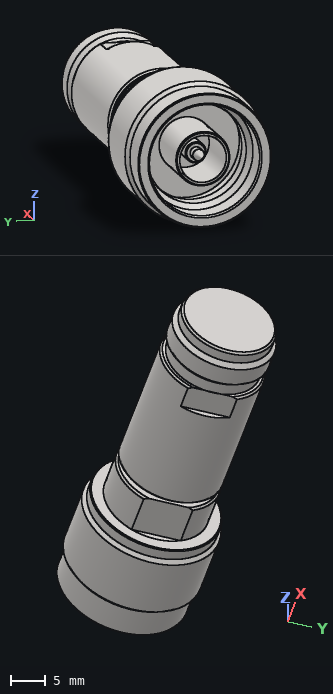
import cadquery as cq


total_length = 53.3

nut_length = 16.9
nut_radius = 9.9
nut_edge_chamfer = 0.15
grip_radius = 10.5
grip_start = 4.7
grip_end = 15.15
grip_bevel = grip_radius - nut_radius

mouth_radius = 8.2
mouth_chamfer = 0.25
throat_radius = 7.4
throat_start = 4.8
throat_end = 7.3
throat_bevel = mouth_radius - throat_radius

body_radius = 7.95
collar_start = 10.65
collar_end = 23.25
neck_radius = 4.7
barrel_start = 24.2
barrel_end = 45.2
body_edge_chamfer = 0.3

socket_radius = 7.15
socket_edge_chamfer = 0.3
band_radius = 7.85
band_start = 47.1
band_end = 51.45
band_bevel = band_radius - socket_radius

flat_height = 7.05
barrel_flat_start = 41.3

ferrule_radius = 4.0
ferrule_bore_radius = 3.45
ferrule_start = 1.05
ferrule_chamfer = 0.15
pin_shank_radius = 1.55
pin_shank_start = 5.05
pin_shank_chamfer = 0.15
pin_tip_radius = 0.85
pin_tip_start = 1.7
pin_cone_length = 1.85


def turned(profile):
    """Revolve a closed (x, radius) outline about the X axis."""
    return cq.Workplane("XY").polyline(profile).close().revolve(360, (0, 0, 0), (1, 0, 0))


def make_nut():
    return turned([
        (0, nut_radius - nut_edge_chamfer),
        (nut_edge_chamfer, nut_radius),
        (grip_start, nut_radius),
        (grip_start + grip_bevel, grip_radius),
        (grip_end - grip_bevel, grip_radius),
        (grip_end, nut_radius),
        (nut_length - nut_edge_chamfer, nut_radius),
        (nut_length, nut_radius - nut_edge_chamfer),
        (nut_length, body_radius),
        (throat_end, body_radius),
        (throat_end, throat_radius),
        (throat_start, throat_radius),
        (throat_start - throat_bevel, mouth_radius),
        (mouth_chamfer, mouth_radius),
        (0, mouth_radius + mouth_chamfer),
    ])


def make_body_blank():
    return turned([
        (collar_start, 0),
        (collar_start, body_radius),
        (collar_end - body_edge_chamfer, body_radius),
        (collar_end, body_radius - body_edge_chamfer),
        (collar_end, neck_radius),
        (barrel_start, neck_radius),
        (barrel_start, body_radius - body_edge_chamfer),
        (barrel_start + body_edge_chamfer, body_radius),
        (barrel_end - body_edge_chamfer, body_radius),
        (barrel_end, body_radius - body_edge_chamfer),
        (barrel_end, socket_radius),
        (band_start, socket_radius),
        (band_start + band_bevel, band_radius),
        (band_end - band_bevel, band_radius),
        (band_end, socket_radius),
        (total_length - socket_edge_chamfer, socket_radius),
        (total_length, socket_radius - socket_edge_chamfer),
        (total_length, 0),
    ])


def make_ferrule():
    return turned([
        (collar_start, ferrule_bore_radius),
        (ferrule_start, ferrule_bore_radius),
        (ferrule_start, ferrule_radius - ferrule_chamfer),
        (ferrule_start + ferrule_chamfer, ferrule_radius),
        (collar_start, ferrule_radius),
    ])


def make_pin():
    return turned([
        (collar_start, 0),
        (pin_tip_start, 0),
        (pin_tip_start + pin_cone_length, pin_tip_radius),
        (pin_shank_start, pin_tip_radius),
        (pin_shank_start, pin_shank_radius - pin_shank_chamfer),
        (pin_shank_start + pin_shank_chamfer, pin_shank_radius),
        (collar_start, pin_shank_radius),
    ])


def cut_wrench_flats(body):
    """Cut flats at the top and bottom of the exposed collar and of the barrel end."""
    depth = body_radius - flat_height
    for start, end in ((nut_length, collar_end), (barrel_flat_start, barrel_end)):
        for side in (1, -1):
            cutter = cq.Workplane("XY").box(end - start, 2 * body_radius, depth)
            middle = ((start + end) / 2, 0, side * (flat_height + depth / 2))
            body = body.cut(cutter.translate(middle))
    return body


def make_body():
    body = cut_wrench_flats(make_body_blank())
    return body.union(make_ferrule()).union(make_pin())


nut = make_nut()
body = make_body()

result = cq.Compound.makeCompound([nut.val(), body.val()])